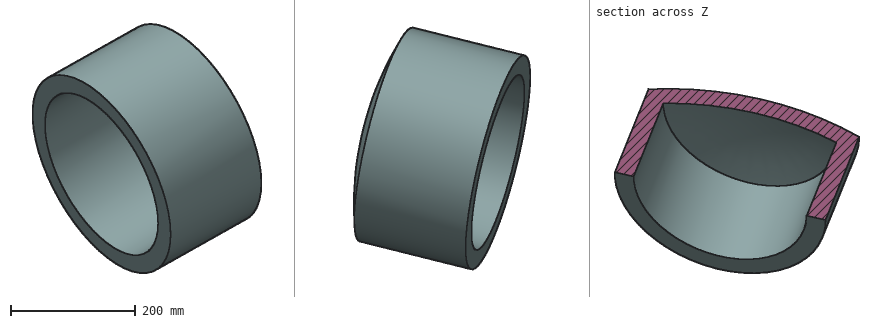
import cadquery as cq
import math

outer_diameter = 355.0
total_length = 219.5
wall = 32.3
dome_height = 32.0

outer_radius = outer_diameter / 2
bore_radius = outer_radius - wall
tube_length = total_length - dome_height

outer_dome_radius = (outer_radius**2 + dome_height**2) / (2 * dome_height)
inner_dome_radius = outer_dome_radius - wall
dome_center_y = total_length - outer_dome_radius


def dome_y(sphere_radius, distance_from_axis):
    """Y position of a dome surface at a given distance from the axis."""
    return dome_center_y + math.sqrt(sphere_radius**2 - distance_from_axis**2)


def domed_plug(radius, side_length, sphere_radius):
    """Solid cylinder from Y = 0 with a spherical cap on its +Y end."""
    profile = (
        cq.Workplane("XY")
        .lineTo(radius, 0)
        .lineTo(radius, side_length)
        .threePointArc(
            (radius / 2, dome_y(sphere_radius, radius / 2)),
            (0, dome_y(sphere_radius, 0)),
        )
        .close()
    )
    return profile.revolve(360, (0, 0, 0), (0, 1, 0))


bore_length = dome_y(inner_dome_radius, bore_radius)

body = domed_plug(outer_radius, tube_length, outer_dome_radius)
cavity = domed_plug(bore_radius, bore_length, inner_dome_radius)

result = body.cut(cavity)